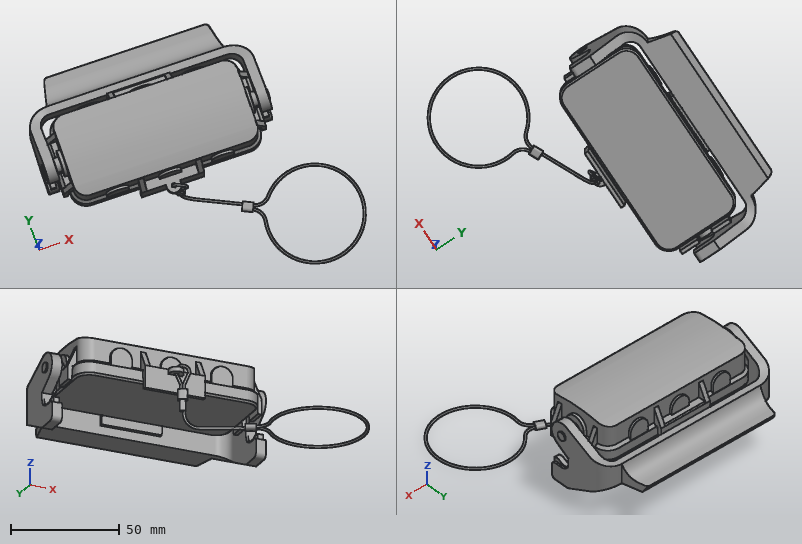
import cadquery as cq
import math

OVERALL_LENGTH = 137.6
HALF_LENGTH = 44.7
HALF_WIDTH = 20.0
SHOULDER = 1.5
RIM_HALF_LENGTH = HALF_LENGTH + SHOULDER
RIM_HALF_WIDTH = HALF_WIDTH + SHOULDER
SHELL_CORNER = 6.0
RIM_CORNER = SHELL_CORNER + SHOULDER
RIM_TOP = 7.7
RIM_BEVEL = 1.0
EAVES = 18.9
CREST = 21.0

PAD_PITCH = 25.6
PAD_RADIUS = 5.4
PAD_TOP = 15.7
PAD_FACE = 21.3
END_PAD_RADIUS = 6.0
END_PAD_TOP = 16.5
END_PAD_FACE = 46.5

LEDGE_THICKNESS = 1.4
RIB_TOP = 16.2
RIB_WIDTH = 2.6
LONG_SKIRT_FACE = 24.8
LONG_SKIRT_HALF = 15.3
LONG_SKIRT_BOTTOM = -3.5
END_SKIRT_FACE = 49.3
END_SKIRT_HALF = 13.5
END_SKIRT_BOTTOM = -1.1
END_SKIRT_NOTCH = 7.7
SKIRT_TOP = 2.5
SKIRT_TIP = 1.9
END_SKIRT_BEVEL = 1.7
REAR_SKIRT_BEVEL = 0.7

TAB_DIAMETER = 7.0
TAB_HOLE = 2.0
TAB_THICKNESS = 2.3
TAB_Y = -26.1

PIVOT_Z = 9.1
BOSS_DIAMETER = 7.0
PIN_DIAMETER = 4.8
PIN_END = 55.0

ARM_INSIDE = END_SKIRT_FACE
ARM_OUTSIDE = 54.4
PIVOT_RADIUS = 7.2
UPPER_SLOPE = math.radians(26)
THROAT_SLOPE = math.radians(32.6)
THROAT_Y = 4.0
MOUTH_FLOOR = -9.8
MOUTH_CORNER = 4.3
HOOK_TIP_Y = -7.2
HOOK_BOTTOM = -19.5
HOOK_LIP_CORNER = 2.0
HOOK_TOE_CORNER = 2.3
BAR_INSIDE = LONG_SKIRT_FACE
BAR_OUTSIDE = 28.6
BAR_TOP = 3.6
BAR_BOTTOM = -8.0
BEND_START_Y = 18.9
BEND_END_X = 43.2
BEND_STEPS = 6
RAIL_WIDTH = 2.8
SEAT_RADIUS = 4.0
SEAT_Z = -5.1
RAIL_CREST = (-5.2, -7.4)
RAIL_TIP = (-6.6, -7.8)
GRIP_TOP = -3.5
GRIP_FLAT_Y = 38.3
GRIP_TIP_Y = 42.8
GRIP_HEEL_Y = 39.8
GRIP_ROOT_HALF = BEND_END_X
GRIP_TIP_HALF = 39.9
GRIP_CORNER = 2.0

CORD_DIAMETER = 1.2
CORD_HEADING = math.radians(24.8)
CORD_LEVEL = -21.7
EYE_RADIUS = 3.0
EYE_CENTRE = 2.9
EYE_KNEE = 0.3
EYE_Z = RIM_TOP - TAB_THICKNESS / 2
STRAND_OFFSET = 0.7
SLEEVE_WIDTH = 2.8
SLEEVE_SPAN = 4.7
SLEEVE_LENGTH = 5.1
EYE_SLEEVE_TOP = -2.5
STUB_SPAN = 2.8
STUB_WIDTH = 1.4
STUB_END = -13.1
LEAD_BEND = 7.3
CRIMP_CENTRE = 34.3
CRIMP_OFFSET = (SLEEVE_SPAN - SLEEVE_WIDTH) / 2
RING_RADIUS = 23.0
RING_END = OVERALL_LENGTH - PIN_END
RING_CENTRE_X = RING_END - RING_RADIUS - CORD_DIAMETER / 2
RING_CENTRE = (RING_CENTRE_X + CRIMP_OFFSET * math.sin(CORD_HEADING)) / math.cos(CORD_HEADING)


def rounded_block(half_x, half_y, bottom, top, corner):
    block = cq.Workplane("XY", origin=(0, 0, bottom))
    block = block.rect(2 * half_x, 2 * half_y).extrude(top - bottom)
    return block.edges("|Z").fillet(corner)


def both_ends(shape):
    """The shape and its mirror image at the other end of the cover."""
    return shape.union(shape.mirror("YZ"))


def shell():
    rim = rounded_block(RIM_HALF_LENGTH, RIM_HALF_WIDTH, 0, RIM_TOP, RIM_CORNER)
    rim = rim.faces(">Z").chamfer(SHOULDER).faces("<Z").chamfer(RIM_BEVEL)
    upper = rounded_block(HALF_LENGTH, HALF_WIDTH, RIM_TOP, CREST, SHELL_CORNER)
    crown = (
        cq.Workplane("YZ")
        .moveTo(-HALF_WIDTH, 0)
        .lineTo(-HALF_WIDTH, EAVES)
        .threePointArc((0, CREST), (HALF_WIDTH, EAVES))
        .lineTo(HALF_WIDTH, 0)
        .close()
        .extrude(HALF_LENGTH, both=True)
    )
    return rim.union(upper.intersect(crown))


def arched_pad(plane, radius, top, bottom, reach):
    """A round-topped pad through the cover that stands out on both walls across the plane."""
    spring = top - radius
    return (
        cq.Workplane(plane)
        .moveTo(-radius, bottom)
        .lineTo(-radius, spring)
        .threePointArc((0, top), (radius, spring))
        .lineTo(radius, bottom)
        .close()
        .extrude(reach, both=True)
    )


def wall_pads():
    bottom = RIM_TOP - SHOULDER
    pads = arched_pad("YZ", END_PAD_RADIUS, END_PAD_TOP, bottom, END_PAD_FACE)
    for step in (-1, 0, 1):
        pad = arched_pad("XZ", PAD_RADIUS, PAD_TOP, bottom, PAD_FACE)
        pads = pads.union(pad.translate((step * PAD_PITCH, 0, 0)))
    return pads


def skirt(wall, face, half_span, bottom, bevel):
    """Ledge, hanging wall and two ribs, with the outer face towards +X."""
    ledge_bottom = RIM_TOP - LEDGE_THICKNESS
    profile = [
        (wall - SHOULDER, RIM_TOP),
        (face, RIM_TOP),
        (face, bottom),
        (face - SKIRT_TIP, bottom),
        (face - SKIRT_TOP, ledge_bottom),
        (wall - SHOULDER, ledge_bottom),
    ]
    plate = cq.Workplane("XY").polyline(profile).close().extrude(half_span, both=True)
    if bevel:
        plate = plate.edges("|Z and >X and >Y").chamfer(bevel)
    rib_profile = [
        (wall - SHOULDER, RIM_TOP - bevel),
        (wall, RIB_TOP),
        (face, RIM_TOP - bevel),
    ]
    rib = cq.Workplane("XY").polyline(rib_profile).close().extrude(RIB_WIDTH)
    near = rib.translate((0, 0, -half_span))
    far = rib.translate((0, 0, half_span - RIB_WIDTH))
    return plate.union(near).union(far).rotate((0, 0, 0), (1, 0, 0), 90)


def end_skirts():
    right = skirt(HALF_LENGTH, END_SKIRT_FACE, END_SKIRT_HALF, END_SKIRT_BOTTOM, END_SKIRT_BEVEL)
    notch = (
        cq.Workplane("XY", origin=(END_SKIRT_FACE, 0, END_SKIRT_BOTTOM))
        .rect(2 * (END_SKIRT_FACE - HALF_LENGTH), END_SKIRT_NOTCH)
        .extrude(RIM_TOP - END_SKIRT_BOTTOM)
    )
    return both_ends(right.cut(notch))


def long_skirts():
    sizes = (HALF_WIDTH, LONG_SKIRT_FACE, LONG_SKIRT_HALF, LONG_SKIRT_BOTTOM)
    front = skirt(*sizes, 0).rotate((0, 0, 0), (0, 0, 1), -90)
    rear = skirt(*sizes, REAR_SKIRT_BEVEL).rotate((0, 0, 0), (0, 0, 1), 90)
    return front.union(rear)


def eyelet_tab():
    reach = -TAB_Y - LONG_SKIRT_FACE + SKIRT_TIP
    base = cq.Workplane("XY", origin=(0, TAB_Y, RIM_TOP - TAB_THICKNESS))
    round_end = base.circle(TAB_DIAMETER / 2).extrude(TAB_THICKNESS)
    neck = base.center(0, reach / 2).rect(TAB_DIAMETER, reach).extrude(TAB_THICKNESS)
    hole = base.circle(TAB_HOLE / 2).extrude(TAB_THICKNESS)
    return round_end.union(neck).cut(hole)


def pivots():
    pivot = cq.Workplane("YZ", origin=(HALF_LENGTH, 0, PIVOT_Z))
    boss = pivot.circle(BOSS_DIAMETER / 2).extrude(ARM_INSIDE - HALF_LENGTH)
    pin = pivot.circle(PIN_DIAMETER / 2).extrude(PIN_END - HALF_LENGTH)
    return both_ends(boss.union(pin))


UPPER_TOUCH = (
    PIVOT_RADIUS * math.sin(UPPER_SLOPE),
    PIVOT_Z + PIVOT_RADIUS * math.cos(UPPER_SLOPE),
)
LOWER_TOUCH = (
    -PIVOT_RADIUS * math.sin(THROAT_SLOPE),
    PIVOT_Z - PIVOT_RADIUS * math.cos(THROAT_SLOPE),
)
THROAT_Z = LOWER_TOUCH[1] - (THROAT_Y - LOWER_TOUCH[0]) * math.tan(THROAT_SLOPE)
BEND_TOP = UPPER_TOUCH[1] - (BEND_START_Y - UPPER_TOUCH[0]) * math.tan(UPPER_SLOPE)
HEEL_SLOPE = (BAR_BOTTOM - HOOK_BOTTOM) / (BAR_OUTSIDE - THROAT_Y)
BEND_BOTTOM = HOOK_BOTTOM + HEEL_SLOPE * (BEND_START_Y - THROAT_Y)


def arms():
    """Two flat arms: pivot eye at the top, hook below, cut off where the bends begin."""
    arm = (
        cq.Workplane("YZ", origin=(ARM_INSIDE, 0, 0))
        .moveTo(*UPPER_TOUCH)
        .lineTo(BEND_START_Y, BEND_TOP)
        .lineTo(BEND_START_Y, BEND_BOTTOM)
        .lineTo(THROAT_Y, HOOK_BOTTOM)
        .lineTo(HOOK_TIP_Y, HOOK_BOTTOM)
        .lineTo(HOOK_TIP_Y, MOUTH_FLOOR)
        .lineTo(THROAT_Y, MOUTH_FLOOR)
        .lineTo(THROAT_Y, THROAT_Z)
        .lineTo(*LOWER_TOUCH)
        .threePointArc((-PIVOT_RADIUS, PIVOT_Z), UPPER_TOUCH)
        .close()
        .extrude(ARM_OUTSIDE - ARM_INSIDE)
    )
    corners = [
        (THROAT_Y, MOUTH_FLOOR, MOUTH_CORNER),
        (HOOK_TIP_Y, MOUTH_FLOOR, HOOK_LIP_CORNER),
        (HOOK_TIP_Y, HOOK_BOTTOM, HOOK_TOE_CORNER),
    ]
    for y, z, radius in corners:
        middle = ((ARM_INSIDE + ARM_OUTSIDE) / 2, y, z)
        arm = arm.edges("|X").edges(cq.NearestToPointSelector(middle)).fillet(radius)
    return both_ends(arm)


def bends():
    """Quarter turns from arm to bar, whose upper and lower edges run together towards the bar."""
    sections = []
    for step in range(BEND_STEPS + 1):
        turn = math.radians(90) * step / BEND_STEPS
        share = math.sin(turn)
        top = BEND_TOP + share * (BAR_TOP - BEND_TOP)
        bottom = BEND_BOTTOM + share * (BAR_BOTTOM - BEND_BOTTOM)
        inside = (
            BEND_END_X + (ARM_INSIDE - BEND_END_X) * math.cos(turn),
            BEND_START_Y + (BAR_INSIDE - BEND_START_Y) * share,
        )
        outside = (
            BEND_END_X + (ARM_OUTSIDE - BEND_END_X) * math.cos(turn),
            BEND_START_Y + (BAR_OUTSIDE - BEND_START_Y) * share,
        )
        corners = [(*inside, bottom), (*outside, bottom), (*outside, top), (*inside, top)]
        sections.append(cq.Wire.makePolygon([cq.Vector(*corner) for corner in corners], close=True))
    return both_ends(cq.Workplane(cq.Solid.makeLoft(sections)))


def bar():
    block = cq.Workplane("XY", origin=(0, (BAR_INSIDE + BAR_OUTSIDE) / 2, BAR_BOTTOM))
    return block.rect(2 * BEND_END_X, BAR_OUTSIDE - BAR_INSIDE).extrude(BAR_TOP - BAR_BOTTOM)


def mouth_rails():
    """Narrow rails on the hook floors, hollowed to a round seat behind a low crest."""
    seat_end = math.radians(-130)
    seat_exit = (SEAT_RADIUS * math.cos(seat_end), SEAT_Z + SEAT_RADIUS * math.sin(seat_end))
    rail = (
        cq.Workplane("YZ", origin=((ARM_INSIDE + ARM_OUTSIDE) / 2, 0, 0))
        .moveTo(SEAT_RADIUS, SEAT_Z)
        .threePointArc((0, SEAT_Z - SEAT_RADIUS), seat_exit)
        .threePointArc(RAIL_CREST, RAIL_TIP)
        .lineTo(RAIL_TIP[0], MOUTH_FLOOR - HOOK_LIP_CORNER)
        .lineTo(SEAT_RADIUS, MOUTH_FLOOR - HOOK_LIP_CORNER)
        .close()
        .extrude(RAIL_WIDTH / 2, both=True)
    )
    return both_ends(rail)


def grip():
    root_y = (BAR_INSIDE + BAR_OUTSIDE) / 2
    sweep_y = GRIP_FLAT_Y - BAR_OUTSIDE
    sweep_z = BAR_TOP - GRIP_TOP
    sweep_radius = (sweep_y**2 + sweep_z**2) / (2 * sweep_z)
    half_turn = math.asin(sweep_y / sweep_radius) / 2
    sweep_middle = (
        GRIP_FLAT_Y - sweep_radius * math.sin(half_turn),
        GRIP_TOP + sweep_radius * (1 - math.cos(half_turn)),
    )
    side = (
        cq.Workplane("YZ")
        .moveTo(root_y, BAR_BOTTOM)
        .lineTo(root_y, BAR_TOP)
        .lineTo(BAR_OUTSIDE, BAR_TOP)
        .threePointArc(sweep_middle, (GRIP_FLAT_Y, GRIP_TOP))
        .lineTo(GRIP_TIP_Y, GRIP_TOP)
        .lineTo(GRIP_HEEL_Y, BAR_BOTTOM)
        .close()
        .extrude(GRIP_ROOT_HALF, both=True)
    )
    plan = (
        cq.Workplane("XY", origin=(0, 0, BAR_BOTTOM))
        .polyline([
            (-GRIP_ROOT_HALF, root_y),
            (-GRIP_ROOT_HALF, BAR_OUTSIDE),
            (-GRIP_TIP_HALF, GRIP_TIP_Y),
            (GRIP_TIP_HALF, GRIP_TIP_Y),
            (GRIP_ROOT_HALF, BAR_OUTSIDE),
            (GRIP_ROOT_HALF, root_y),
        ])
        .close()
        .extrude(BAR_TOP - BAR_BOTTOM)
        .edges("|Z and >Y")
        .fillet(GRIP_CORNER)
    )
    return side.intersect(plan)


def lever():
    return arms().union(bends()).union(bar()).union(mouth_rails()).union(grip())


def cover_with_lever():
    body = shell()
    for feature in (wall_pads(), long_skirts(), end_skirts(), eyelet_tab(), pivots(), lever()):
        body = body.union(feature)
    return body


HEADING = (math.cos(CORD_HEADING), -math.sin(CORD_HEADING), 0)
SIDEWAYS = (math.sin(CORD_HEADING), math.cos(CORD_HEADING), 0)
UPRIGHT = cq.Plane((0, TAB_Y, 0), HEADING, tuple(-part for part in SIDEWAYS))
FLAT = cq.Plane((0, TAB_Y, CORD_LEVEL), HEADING, (0, 0, 1))


def tube(path):
    """Round cord swept along a path, with ball joints at its knees."""
    spine = path.wire()
    wire = spine.val()
    start = cq.Plane(wire.startPoint(), normal=wire.tangentAt(0))
    return cq.Workplane(start).circle(CORD_DIAMETER / 2).sweep(spine, transition="round")


def oval(plane, span, width, length):
    """Oval sleeve round two strands, from the plane along its normal."""
    return cq.Workplane(plane).slot2D(span, width).extrude(length)


def eye():
    """Loop through the tab hole: tangent sides down to two knees, then upright to the sleeve."""
    drop = EYE_Z - EYE_KNEE
    distance = math.hypot(STRAND_OFFSET, drop)
    touch = math.acos(EYE_RADIUS / distance) + math.atan2(STRAND_OFFSET, drop)
    touch_x = EYE_RADIUS * math.sin(touch)
    touch_z = EYE_Z - EYE_RADIUS * math.cos(touch)
    foot_z = EYE_SLEEVE_TOP - CORD_DIAMETER
    path = (
        cq.Workplane(UPRIGHT)
        .moveTo(EYE_CENTRE - STRAND_OFFSET, foot_z)
        .lineTo(EYE_CENTRE - STRAND_OFFSET, EYE_KNEE)
        .lineTo(EYE_CENTRE - touch_x, touch_z)
        .threePointArc((EYE_CENTRE, EYE_Z + EYE_RADIUS), (EYE_CENTRE + touch_x, touch_z))
        .lineTo(EYE_CENTRE + STRAND_OFFSET, EYE_KNEE)
        .lineTo(EYE_CENTRE + STRAND_OFFSET, foot_z)
    )
    return tube(path)


def eye_sleeves():
    """Sleeve below the eye, and the slimmer stub that sticks out under it."""
    top = cq.Plane(UPRIGHT.toWorldCoords((EYE_CENTRE, EYE_SLEEVE_TOP)), HEADING, (0, 0, -1))
    collar = oval(top, SLEEVE_SPAN, SLEEVE_WIDTH, SLEEVE_LENGTH)
    return collar.union(oval(top, STUB_SPAN, STUB_WIDTH, EYE_SLEEVE_TOP - STUB_END))


def lead():
    """Cord that drops out of the stub, bends level and runs straight into the crimp."""
    lead_x = EYE_CENTRE + STRAND_OFFSET
    path = (
        cq.Workplane(UPRIGHT)
        .moveTo(lead_x, STUB_END + CORD_DIAMETER)
        .lineTo(lead_x, CORD_LEVEL + LEAD_BEND)
        .radiusArc((lead_x + LEAD_BEND, CORD_LEVEL), -LEAD_BEND)
        .lineTo(CRIMP_CENTRE, CORD_LEVEL)
    )
    return tube(path)


def crimp():
    start = CRIMP_CENTRE - SLEEVE_LENGTH / 2
    plane = cq.Plane(FLAT.toWorldCoords((start, -CRIMP_OFFSET)), SIDEWAYS, HEADING)
    return oval(plane, SLEEVE_SPAN, SLEEVE_WIDTH, SLEEVE_LENGTH)


def ring():
    """Large loop that leaves the crimp by two flares, tangent to the ring on either side."""
    exit_x = CRIMP_CENTRE + SLEEVE_LENGTH / 2
    gap = RING_CENTRE - exit_x
    flare = (gap**2 + CRIMP_OFFSET**2 - RING_RADIUS**2) / (2 * (RING_RADIUS - CRIMP_OFFSET))
    flare_y = CRIMP_OFFSET + flare
    share = flare / (flare + RING_RADIUS)
    join_x = exit_x + share * gap
    join_y = flare_y * (1 - share)
    path = (
        cq.Workplane(FLAT)
        .center(0, -CRIMP_OFFSET)
        .moveTo(CRIMP_CENTRE, CRIMP_OFFSET)
        .lineTo(exit_x, CRIMP_OFFSET)
        .radiusArc((join_x, join_y), -flare)
        .threePointArc((RING_CENTRE + RING_RADIUS, 0), (join_x, -join_y))
        .radiusArc((exit_x, -CRIMP_OFFSET), -flare)
        .lineTo(CRIMP_CENTRE, -CRIMP_OFFSET)
    )
    return tube(path)


def cord():
    body = eye_sleeves()
    for piece in (eye(), lead(), crimp(), ring()):
        body = body.union(piece)
    return body


cover_body = cover_with_lever()
cord_body = cord()

result = cq.Compound.makeCompound([cover_body.solids().val(), cord_body.solids().val()])